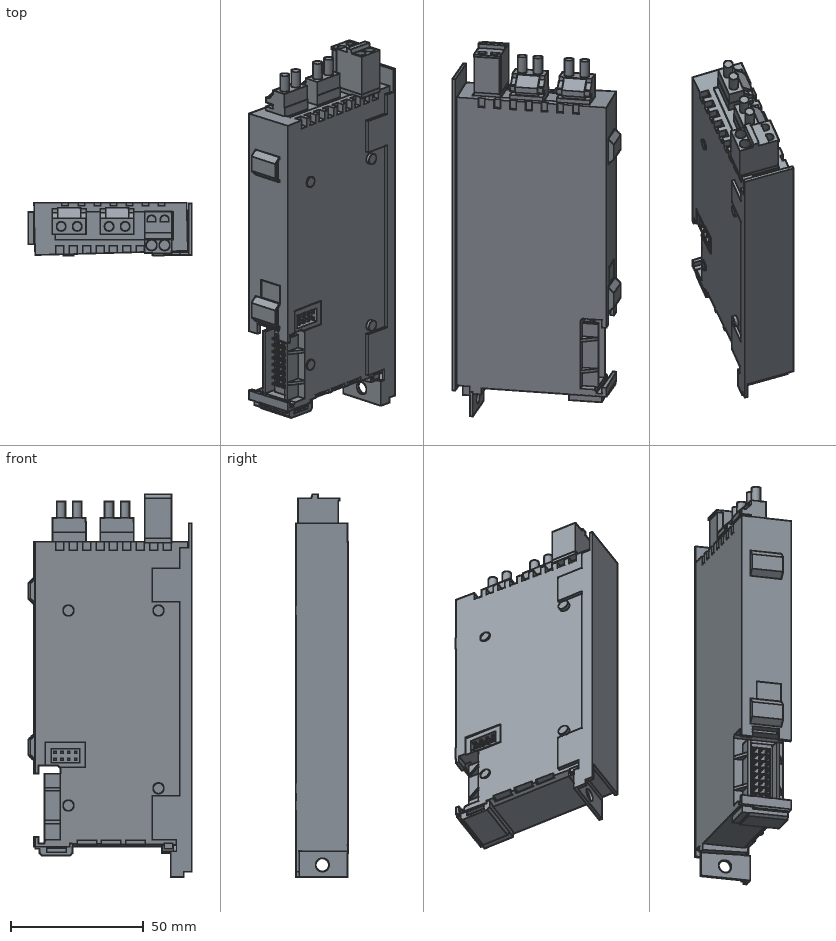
import cadquery as cq

TOTAL_X = 61.7
TOTAL_Z = 144.5
TOTAL_Y = 20.0

LEFT_REAR_X = 2.2
LEFT_FRONT_X = 2.6
RIGHT_REAR_X = 59.8
RIGHT_FRONT_X = 60.2
FRONT_LEFT_Y = 0.1
FRONT_RIGHT_Y = 1.7
BODY_TOP_Z = 126.5
BODY_BOTTOM_Z = 11.5
DECK_DEPTH = 0.5
FRONT_BOTTOM_Z = 12.7
BOTTOM_SLOPE_Y = 3.6

BAY_RIGHT_X = 12.1
BAY_TOP_Z = 42.0
BAY_FLOOR_Z = 14.2
BAY_CHAMFER = 1.0
LIP_RIGHT_X = 3.9
LIP_BOTTOM_Z = 39.0
FOOT_LIP_TOP_Z = 15.2

BLOCK_LEFT_X = 6.0
BLOCK_FRONT_Y = 3.8
BLOCK_REAR_Y = 16.3
BLOCK_TOP_Z = 39.0

SHEET = 1.2
BRACKET_FRONT_Y = 0.1
BRACKET_REAR_Y = 19.6
BRACKET_TOP_Z = 133.5
WING_TOP_Z = 124.3
WING_EDGE_X = 57.2
WING_TAB_X = 46.8
FOOT_X = 53.7
FOOT_TOP_Z = 9.8
WEB_X = TOTAL_X - SHEET

PLUG_LEFT_X = 43.9
PLUG_RIGHT_X = 54.0
PLUG_FRONT_Y = 0.9
PLUG_REAR_Y = 16.2
PLUG_BOTTOM_Z = 127.7
PLUG_TOP_Z = 142.9
PLUG_MID_X = (PLUG_LEFT_X + PLUG_RIGHT_X) / 2


def block(x0, x1, y0, y1, z0, z1):
    """Box between two corners."""
    return cq.Workplane("XY").box(x1 - x0, y1 - y0, z1 - z0, centered=False).translate((x0, y0, z0))


def extrude_along_x(points_yz, x0, x1):
    """Prism with a Y-Z outline, from x0 to x1."""
    return cq.Workplane("YZ").workplane(offset=x0).polyline(points_yz).close().extrude(x1 - x0)


def extrude_along_y(points_xz, y0, y1):
    """Prism with an X-Z outline, from y0 to y1."""
    return cq.Workplane("XZ").workplane(offset=-y1).polyline(points_xz).close().extrude(y1 - y0)


def front_y(x):
    """Y of the leaning front wall at a given X."""
    lean = (FRONT_RIGHT_Y - FRONT_LEFT_Y) / (RIGHT_FRONT_X - LEFT_FRONT_X)
    return FRONT_LEFT_Y + lean * (x - LEFT_FRONT_X)


def housing_shell():
    plan = [
        (LEFT_REAR_X, TOTAL_Y),
        (RIGHT_REAR_X, TOTAL_Y),
        (RIGHT_FRONT_X, FRONT_RIGHT_Y),
        (LEFT_FRONT_X, FRONT_LEFT_Y),
    ]
    shell = (
        cq.Workplane("XY").workplane(offset=BODY_BOTTOM_Z)
        .polyline(plan).close().extrude(BODY_TOP_Z - BODY_BOTTOM_Z)
    )
    slope_left_x = 15.6
    slope = [
        (0, BODY_BOTTOM_Z),
        (BOTTOM_SLOPE_Y, BODY_BOTTOM_Z),
        (front_y(slope_left_x), FRONT_BOTTOM_Z),
        (0, FRONT_BOTTOM_Z),
    ]
    shell = shell.cut(extrude_along_x(slope, slope_left_x, TOTAL_X))
    corner_x = 54.9
    corner_z = 12.0
    shell = shell.cut(block(corner_x, TOTAL_X, 0, TOTAL_Y, BODY_BOTTOM_Z, corner_z))
    hook_left_x, hook_setback, hook_depth = 50.4, 0.7, 0.7
    hook_front_y = front_y(hook_left_x)
    lug_front_y = hook_front_y + hook_setback
    hook_bottom_z = FOOT_TOP_Z - hook_depth
    lug = block(hook_left_x, corner_x, lug_front_y, TOTAL_Y, FOOT_TOP_Z, FRONT_BOTTOM_Z)
    lip_x0, lip_x1, lip_z = 51.3, 54.5, 10.7
    lip = block(lip_x0, lip_x1, hook_front_y, lug_front_y, lip_z, FRONT_BOTTOM_Z)
    hook_slope = [(lug_front_y, FOOT_TOP_Z), (TOTAL_Y, FOOT_TOP_Z), (TOTAL_Y, hook_bottom_z)]
    return shell.union(lug).union(lip).union(extrude_along_x(hook_slope, hook_left_x, FOOT_X))


def cut_top_details(body):
    deck_x0, deck_x1, deck_y0, deck_y1 = 10.1, 54.6, 5.9, 16.5
    body = body.cut(block(deck_x0, deck_x1, deck_y0, deck_y1, BODY_TOP_Z - DECK_DEPTH, BODY_TOP_Z))
    vent_first_x, vent_pitch, vent_width, vent_height, vent_rear_y = 10.4, 5.0, 3.0, 3.3, 3.6
    for i in range(9):
        x = vent_first_x + i * vent_pitch
        body = body.cut(block(x, x + vent_width, 0, vent_rear_y, BODY_TOP_Z - vent_height, BODY_TOP_Z))
    slot_first_x, slot_pitch, slot_width, slot_depth = 12.7, 6.0, 2.5, 1.2
    for i in range(7):
        x = slot_first_x + i * slot_pitch
        body = body.cut(
            block(x, x + slot_width, TOTAL_Y - slot_depth, TOTAL_Y, BODY_TOP_Z - vent_height, BODY_TOP_Z)
        )
    return body


def cut_bottom_slots(body):
    """Three slots in the lower front edge, each with a low sill at its back."""
    first_x, pitch, width = 18.5, 9.1, 7.4
    top_z, sill_z, sill_y = 13.9, 12.4, 2.2
    for i in range(3):
        x = first_x + i * pitch
        body = body.cut(block(x, x + width, 0, BOTTOM_SLOPE_Y, sill_z, top_z))
        body = body.cut(block(x, x + width, 0, sill_y, BODY_BOTTOM_Z, sill_z))
    return body


def cut_bay(body):
    floor_chamfer = 0.7
    outline = [
        (LIP_RIGHT_X, FRONT_BOTTOM_Z),
        (LIP_RIGHT_X, BAY_TOP_Z),
        (BAY_RIGHT_X - BAY_CHAMFER, BAY_TOP_Z),
        (BAY_RIGHT_X, BAY_TOP_Z - BAY_CHAMFER),
        (BAY_RIGHT_X, BAY_FLOOR_Z),
        (BLOCK_LEFT_X + floor_chamfer, BAY_FLOOR_Z),
        (BLOCK_LEFT_X, BAY_FLOOR_Z - floor_chamfer),
        (BLOCK_LEFT_X, FRONT_BOTTOM_Z),
    ]
    body = body.cut(extrude_along_y(outline, 0, TOTAL_Y))
    body = body.cut(block(0, LIP_RIGHT_X, 0, TOTAL_Y, FOOT_LIP_TOP_Z, LIP_BOTTOM_Z))
    notch_y0, notch_y1, notch_top_z = 4.9, 15.6, 43.0
    return body.cut(block(0, BLOCK_LEFT_X, notch_y0, notch_y1, LIP_BOTTOM_Z, notch_top_z))


def bus_connector():
    shroud = block(
        BLOCK_LEFT_X, BAY_RIGHT_X, BLOCK_FRONT_Y, BLOCK_REAR_Y, FRONT_BOTTOM_Z, BLOCK_TOP_Z
    )
    channel_x, channel_y0, channel_y1 = 11.3, 4.9, 15.0
    shroud = shroud.cut(block(BLOCK_LEFT_X, channel_x, channel_y0, channel_y1, BAY_FLOOR_Z, BLOCK_TOP_Z))
    strip_x = 9.8
    pocket_x = 10.8
    contact_x = 7.8
    divider_x = 10.4
    strip_y0, strip_y1 = 5.5, 13.7
    strip = block(strip_x, BAY_RIGHT_X, strip_y0, strip_y1, BAY_FLOOR_Z, BLOCK_TOP_Z)
    pocket_y0, pocket_y1, pocket_z0, pocket_z1 = 6.2, 13.6, 16.9, 37.4
    strip = strip.cut(block(strip_x, pocket_x, pocket_y0, pocket_y1, pocket_z0, pocket_z1))
    rows, row_pitch = 8, 2.6
    columns, column_pitch = 3, 2.6
    contact = 0.6
    divider = 0.5
    middle_y, middle_z = 10.1, (pocket_z0 + pocket_z1) / 2
    for row in range(rows):
        z = middle_z + (row - (rows - 1) / 2) * row_pitch
        for column in range(columns):
            y = middle_y + (column - (columns - 1) / 2) * column_pitch
            strip = strip.union(
                block(contact_x, pocket_x, y - contact / 2, y + contact / 2, z - contact / 2, z + contact / 2)
            )
        if row < rows - 1:
            divider_z0 = z + (row_pitch - divider) / 2
            strip = strip.union(
                block(divider_x, pocket_x, pocket_y0, pocket_y1, divider_z0, divider_z0 + divider)
            )
    return shroud.union(strip)


def bay_gussets():
    """Two triangular gussets on the front and rear of the bus connector block."""
    thickness = 1.2
    front = [(BLOCK_LEFT_X, BLOCK_FRONT_Y), (BAY_RIGHT_X, BLOCK_FRONT_Y), (BAY_RIGHT_X, front_y(BAY_RIGHT_X))]
    rear = [(BLOCK_LEFT_X, BLOCK_REAR_Y), (BAY_RIGHT_X, BLOCK_REAR_Y), (BAY_RIGHT_X, TOTAL_Y)]
    gussets = cq.Workplane("XY")
    for z in (20.2, 32.7):
        for outline in (front, rear):
            gussets = gussets.add(
                cq.Workplane("XY").workplane(offset=z).polyline(outline).close().extrude(thickness)
            )
    return gussets.combine()


def snap_clip(bottom_z):
    """Hook-shaped clip on the left wall, hollowed at its front end."""
    height, ramp, wall, hollow = 10.1, 2.2, 0.9, 0.7
    y0, y1 = 4.2, 16.5
    root_x = LEFT_FRONT_X
    outline = [(root_x, 0), (LEFT_REAR_X, 0), (0, ramp), (0, height - ramp),
               (LEFT_REAR_X, height), (root_x, height)]
    inside = [(root_x, wall), (LEFT_REAR_X, wall), (wall, ramp), (wall, height - ramp),
              (LEFT_REAR_X, height - wall), (root_x, height - wall)]
    clip = extrude_along_y(outline, y0, y1).cut(extrude_along_y(inside, y0, y0 + hollow))
    return clip.translate((0, 0, bottom_z))


def bottom_latch():
    """Latch rim below the bay, set back around a flush pad and slotted under the pad."""
    x0, x1, y0, y1, z0 = 4.2, 16.8, 0.9, 16.3, 8.1
    rear_tab_y, rear_tab_z = 19.0, 9.0
    left_tab_y, left_tab_z = 14.9, 10.7
    chamfer = 1.0
    pad_x0, pad_x1, pad_z = 7.0, 14.3, 10.8
    slot_z, slot_depth = 9.4, 1.5
    latch = block(x0, x1, y0, y1, z0, FRONT_BOTTOM_Z).edges("|Y and <Z").chamfer(chamfer)
    latch = latch.union(block(pad_x0, pad_x1, front_y(pad_x1), y0, pad_z, FRONT_BOTTOM_Z))
    latch = latch.cut(block(pad_x0, pad_x1, y0, y0 + slot_depth, slot_z, pad_z))
    rear_tab = block(x0, x1, y1, rear_tab_y, rear_tab_z, FRONT_BOTTOM_Z)
    left_tab = block(LEFT_FRONT_X, x0, y0, left_tab_y, left_tab_z, FRONT_BOTTOM_Z)
    return latch.union(rear_tab).union(left_tab)


def cut_service_socket(body):
    """Eight-pin socket in the front wall, above the bay."""
    face_y, floor_y, pin_y = 0.9, 3.6, 1.3
    frame_x0, frame_x1, frame_z0, frame_z1 = 6.5, 21.5, 41.5, 50.9
    socket_x0, socket_x1, socket_z0, socket_z1 = 8.7, 19.4, 43.2, 48.4
    body = body.cut(block(frame_x0, frame_x1, 0, face_y, frame_z0, frame_z1))
    socket = block(socket_x0, socket_x1, face_y, floor_y, socket_z0, socket_z1)
    pin, first_x, pitch, first_z = 0.9, 10.1, 2.6, 44.5
    for column in range(4):
        for row in range(2):
            x = first_x + column * pitch
            z = first_z + row * pitch
            socket = socket.cut(block(x - pin / 2, x + pin / 2, pin_y, floor_y, z - pin / 2, z + pin / 2))
    return body.cut(socket)


def rivet_heads():
    """Round heads that stand out of the leaning front wall."""
    radius, root_y = 2.0, 2.2
    centres = [(15.2, 100.5), (49.1, 100.5), (15.2, 27.0), (49.1, 33.5)]
    return cq.Workplane("XZ").workplane(offset=-root_y).pushPoints(centres).circle(radius).extrude(root_y)


def fibre_socket(left_x):
    """Block with two fibre stubs and a latch on its rear side."""
    width, front, rear = 12.7, 8.0, 14.0
    step, step_z = 0.1, 130.0
    top_z, stub_top_z = 135.5, 141.7
    seat_z = BODY_TOP_Z - DECK_DEPTH
    rear_base_y, rear_base_z = 17.6, 128.2
    right_x = left_x + width
    socket = block(left_x, right_x, front, rear, seat_z, step_z)
    socket = socket.union(block(left_x, right_x - step, front + step, rear, step_z, top_z))
    socket = socket.union(block(left_x, right_x, rear, rear_base_y, seat_z, rear_base_z))
    shoulder = [(rear, 129.7), (rear, 134.0), (16.2, 131.8), (rear_base_y, 131.8), (rear_base_y, 129.7)]
    latch_y, hook_y = 18.0, 16.8
    latch = [(rear, 129.7), (rear, 135.2), (latch_y, 131.6), (latch_y, 129.5), (hook_y, 129.5),
             (hook_y, rear_base_z), (15.9, rear_base_z), (14.5, 129.2)]
    latch_margin = 2.0
    socket = socket.union(extrude_along_x(shoulder, left_x, right_x))
    socket = socket.union(extrude_along_x(latch, left_x + latch_margin, right_x - latch_margin))
    stub_radius, stub_pitch, stub_y = 1.7, 6.0, 11.0
    middle_x = left_x + width / 2
    stubs = (
        cq.Workplane("XY").workplane(offset=top_z)
        .pushPoints([(middle_x - stub_pitch / 2, stub_y), (middle_x + stub_pitch / 2, stub_y)])
        .circle(stub_radius).extrude(stub_top_z - top_z)
    )
    return socket.union(stubs)


def make_bracket():
    """Right-hand web, stepped front wing and drilled mounting foot, all of one sheet."""
    tab_top_z, tab_bottom_z = 116.5, 103.9
    low_tab_top_z, low_tab_bottom_z = 30.6, 14.2
    notch_x = 55.8
    toe_x, toe_z = 58.7, 2.0
    wing_outline = [
        (TOTAL_X, WING_TOP_Z),
        (WING_EDGE_X, WING_TOP_Z),
        (WING_EDGE_X, tab_top_z),
        (WING_TAB_X, tab_top_z),
        (WING_TAB_X, tab_bottom_z),
        (WING_EDGE_X, tab_bottom_z),
        (WING_EDGE_X, low_tab_top_z),
        (WING_TAB_X, low_tab_top_z),
        (WING_TAB_X, low_tab_bottom_z),
        (notch_x, low_tab_bottom_z),
        (notch_x, FOOT_TOP_Z),
        (FOOT_X, FOOT_TOP_Z),
        (FOOT_X, 0),
        (toe_x, 0),
        (toe_x, toe_z),
        (TOTAL_X, toe_z),
    ]
    wing = extrude_along_y(wing_outline, BRACKET_FRONT_Y, BRACKET_FRONT_Y + SHEET)
    web = block(WEB_X, TOTAL_X, BRACKET_FRONT_Y, BRACKET_REAR_Y, FOOT_TOP_Z, BRACKET_TOP_Z)
    foot = block(FOOT_X, FOOT_X + SHEET, BRACKET_FRONT_Y, BRACKET_REAR_Y, 0, FOOT_TOP_Z)
    hole_radius, hole_y, hole_z = 2.5, 10.1, 4.6
    hole = (
        cq.Workplane("YZ").workplane(offset=FOOT_X)
        .center(hole_y, hole_z).circle(hole_radius).extrude(SHEET)
    )
    return wing.union(web).union(foot.cut(hole))


def make_plug():
    """Two-pole plug with a top rib, wire openings and screwdriver openings."""
    plug = block(PLUG_LEFT_X, PLUG_RIGHT_X, PLUG_FRONT_Y, PLUG_REAR_Y, PLUG_BOTTOM_Z, PLUG_TOP_Z)
    rib_foot_y, rib_front_y, rib_rear_y = 5.9, 6.4, 8.5
    rib = [(rib_foot_y, PLUG_TOP_Z), (rib_front_y, TOTAL_Z), (rib_rear_y, TOTAL_Z), (rib_rear_y, PLUG_TOP_Z)]
    plug = plug.union(extrude_along_x(rib, PLUG_LEFT_X, PLUG_RIGHT_X))
    rim_bottom_z, rim_width = 142.0, 0.5
    relief_y, relief_depth = 14.0, 0.3
    plug = plug.union(
        block(PLUG_LEFT_X, PLUG_RIGHT_X, PLUG_REAR_Y, PLUG_REAR_Y + rim_width, rim_bottom_z, PLUG_TOP_Z)
    )
    relief_x = PLUG_LEFT_X + relief_depth
    plug = plug.cut(block(PLUG_LEFT_X, relief_x, relief_y, PLUG_REAR_Y, PLUG_BOTTOM_Z, rim_bottom_z))
    pole_pitch, depth = 4.9, 7.2
    wire_radius, wire_y = 2.0, 3.9
    slot_half, slot_flat_y, slot_arc_y = 1.6, 12.7, 13.6
    for x in (PLUG_MID_X - pole_pitch / 2, PLUG_MID_X + pole_pitch / 2):
        top = cq.Workplane("XY").workplane(offset=PLUG_TOP_Z - depth)
        plug = plug.cut(top.center(x, wire_y).circle(wire_radius).extrude(depth))
        opening = (
            top.moveTo(x - slot_half, slot_flat_y)
            .lineTo(x + slot_half, slot_flat_y)
            .lineTo(x + slot_half, slot_arc_y)
            .threePointArc((x, slot_arc_y + slot_half), (x - slot_half, slot_arc_y))
            .close().extrude(depth)
        )
        plug = plug.cut(opening)
    return plug


def make_housing(bracket):
    body = cut_bay(cut_bottom_slots(cut_top_details(housing_shell())))
    body = body.union(bus_connector()).union(bay_gussets())
    for bottom_z in (43.9, 102.9):
        body = body.union(snap_clip(bottom_z))
    body = body.union(bottom_latch())
    body = cut_service_socket(body)
    window_floor_x, window_y0, window_y1, window_z0, window_z1 = 2.7, 4.2, 13.9, 54.0, 61.1
    body = body.cut(block(0, window_floor_x, window_y0, window_y1, window_z0, window_z1))
    body = body.union(rivet_heads())
    for left_x in (9.1, 27.2):
        body = body.union(fibre_socket(left_x))
    header_z = BODY_TOP_Z - DECK_DEPTH
    header = block(PLUG_LEFT_X, PLUG_RIGHT_X, PLUG_FRONT_Y, PLUG_REAR_Y, header_z, PLUG_BOTTOM_Z)
    body = body.union(header)
    return body.cut(bracket)


bracket = make_bracket()
plug = make_plug()
housing = make_housing(bracket)

result = cq.Compound.makeCompound([housing.val(), bracket.val(), plug.val()])